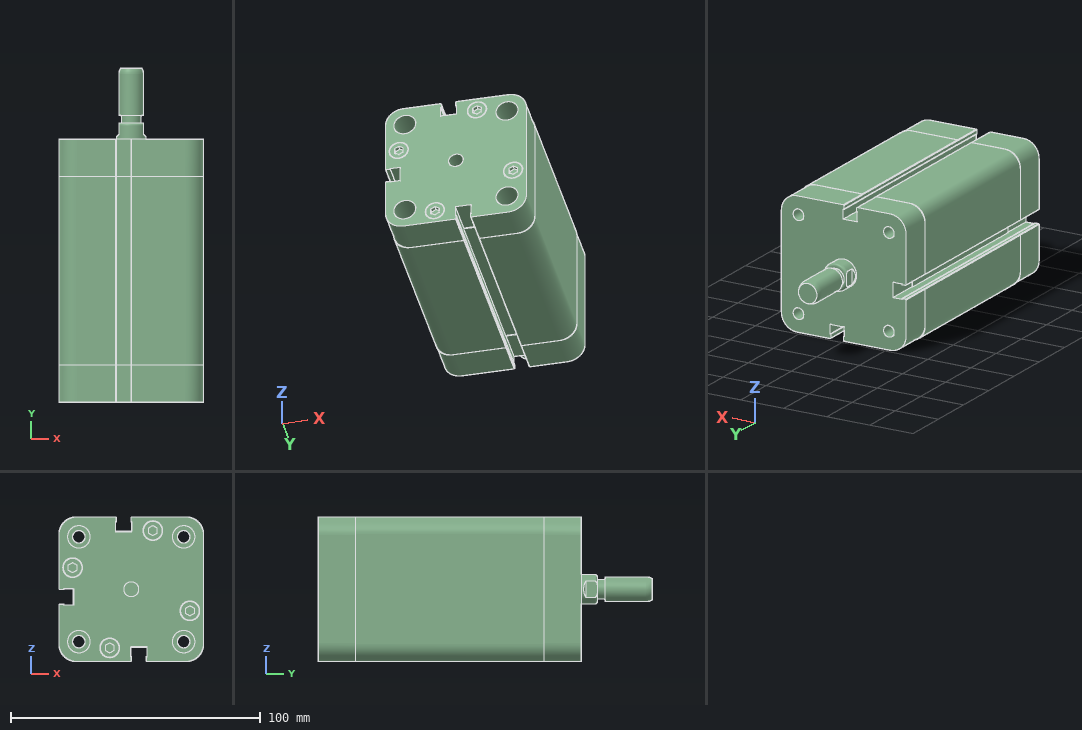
import cadquery as cq
import math


TOTAL_LENGTH = 134.0
HOUSING_LENGTH = 105.5
CAP_LENGTH = 15.0
CAP_WIDTH = 58.0
CAP_CORNER_RADIUS = 7.4
TUBE_WIDTH = 58.1
TUBE_CORNER_RADIUS = 7.0

SLOT_OFFSET = 3.05
SLOT_NECK_WIDTH = 5.9
SLOT_MOUTH_CHAMFER = 0.25
SLOT_NECK_DEPTH = 2.0
SLOT_INNER_WIDTH = 6.5
CAP_SLOT_DEPTH = 6.1
TUBE_SLOT_DEPTH = 5.8
SLOT_ANGLES = (0, 90, 180)

MOUNT_SPACING = 42.0
MOUNT_DIAMETER = 4.92
MOUNT_BORE_DIAMETER = 9.0
MOUNT_BORE_DEPTH = 15.0

CENTRE_DIAMETER = 6.0
CENTRE_DEPTH = 10.0

SCREW_OFFSET = 8.65
SCREW_RADIAL = 23.5
SCREW_COUNT = 4
SCREW_BORE_DIAMETER = 7.9
SCREW_HEAD_DIAMETER = 7.5
SCREW_GAP_DEPTH = 4.0
SOCKET_SIDES = 6
SOCKET_ACROSS_FLATS = 3.5
SOCKET_DEPTH = 2.0

ROD_DIAMETER = 12.0
ROD_EDGE_RADIUS = 1.2
THREAD_DIAMETER = 10.0
THREAD_END_DIAMETER = 8.57
THREAD_LENGTH = 19.0
UNDERCUT_DIAMETER = 8.0
UNDERCUT_LENGTH = 3.0
UNDERCUT_FILLET = 0.4
FLATS_WIDTH = 10.0
FLATS_LENGTH = 4.6


def plane_at(y):
    """Plane at position y facing +Y, with local x = -X and local y = Z."""
    return cq.Workplane(cq.Plane((0, y, 0), (-1, 0, 0), (0, 1, 0)))


def rotated(shape, angle):
    """Turn a shape about the cylinder axis, from the top towards -X."""
    return shape.rotate((0, 0, 0), (0, 1, 0), -angle)


def slot_cutter(y, length, width, depth):
    """T-slot with a chamfered mouth, entering a square section from the top."""
    surface = width / 2
    neck = (
        plane_at(y)
        .center(SLOT_OFFSET, surface - SLOT_NECK_DEPTH / 2)
        .rect(SLOT_NECK_WIDTH, SLOT_NECK_DEPTH)
        .extrude(length)
    )
    half_neck = SLOT_NECK_WIDTH / 2
    half_mouth = half_neck + SLOT_MOUTH_CHAMFER
    mouth = (
        plane_at(y)
        .center(SLOT_OFFSET, surface)
        .polyline(
            [
                (-half_mouth, 0),
                (half_mouth, 0),
                (half_neck, -SLOT_MOUTH_CHAMFER),
                (-half_neck, -SLOT_MOUTH_CHAMFER),
            ]
        )
        .close()
        .extrude(length)
    )
    inner_height = depth - SLOT_NECK_DEPTH
    inner = (
        plane_at(y)
        .center(SLOT_OFFSET, surface - depth + inner_height / 2)
        .rect(SLOT_INNER_WIDTH, inner_height)
        .extrude(length)
    )
    return neck.union(mouth).union(inner)


def housing_section(y, length, width, corner_radius, slot_depth):
    """Square prism with rounded corners and three sensor slots."""
    section = plane_at(y).rect(width, width).extrude(length).edges("|Y").fillet(corner_radius)
    cutter = slot_cutter(y, length, width, slot_depth)
    for angle in SLOT_ANGLES:
        section = section.cut(rotated(cutter, angle))
    return section


def make_cap(y):
    return housing_section(y, CAP_LENGTH, CAP_WIDTH, CAP_CORNER_RADIUS, CAP_SLOT_DEPTH)


def make_housing():
    tube_length = HOUSING_LENGTH - 2 * CAP_LENGTH
    tube = housing_section(
        CAP_LENGTH, tube_length, TUBE_WIDTH, TUBE_CORNER_RADIUS, TUBE_SLOT_DEPTH
    )
    return tube.union(make_cap(0)).union(make_cap(HOUSING_LENGTH - CAP_LENGTH))


def mounting_holes():
    """Corner holes through the whole housing, bored wider at the head face."""

    def corners(workplane):
        return workplane.rect(MOUNT_SPACING, MOUNT_SPACING, forConstruction=True).vertices()

    through = corners(plane_at(0)).circle(MOUNT_DIAMETER / 2).extrude(HOUSING_LENGTH)
    bores = corners(plane_at(0)).circle(MOUNT_BORE_DIAMETER / 2).extrude(MOUNT_BORE_DEPTH)
    return through.union(bores)


def centre_hole():
    return plane_at(0).circle(CENTRE_DIAMETER / 2).extrude(CENTRE_DEPTH)


def cut_screws(body):
    """Ring gap around each flush screw head, and its hexagon socket."""
    socket_diameter = SOCKET_ACROSS_FLATS / math.cos(math.pi / SOCKET_SIDES)
    for i in range(SCREW_COUNT):
        angle = 2 * math.pi * i / SCREW_COUNT
        x = SCREW_RADIAL * math.cos(angle) - SCREW_OFFSET * math.sin(angle)
        z = SCREW_RADIAL * math.sin(angle) + SCREW_OFFSET * math.cos(angle)
        seat = plane_at(0).center(x, z)
        bore = seat.circle(SCREW_BORE_DIAMETER / 2)
        gap = bore.circle(SCREW_HEAD_DIAMETER / 2).extrude(SCREW_GAP_DEPTH)
        turned_seat = seat.transformed(rotate=(0, 0, 90))
        socket = turned_seat.polygon(SOCKET_SIDES, socket_diameter).extrude(SOCKET_DEPTH)
        body = body.cut(gap).cut(socket)
    return body


def make_rod():
    """Rod with rounded shoulder, wrench flats, undercut and plain cylinder for the thread."""
    tip = TOTAL_LENGTH
    thread_start = tip - THREAD_LENGTH
    shoulder = thread_start - UNDERCUT_LENGTH

    rod_end = (
        plane_at(HOUSING_LENGTH)
        .circle(ROD_DIAMETER / 2)
        .extrude(shoulder - HOUSING_LENGTH)
        .faces(">Y")
        .edges()
        .fillet(ROD_EDGE_RADIUS)
    )
    radius = ROD_DIAMETER / 2
    flat_x = FLATS_WIDTH / 2
    flat_end = shoulder - FLATS_LENGTH
    flat = (
        cq.Workplane("XY")
        .polyline(
            [
                (flat_x, shoulder),
                (flat_x, flat_end),
                (radius, flat_end - (radius - flat_x)),
                (radius, shoulder),
            ]
        )
        .close()
        .extrude(radius, both=True)
    )
    rod_end = rod_end.cut(flat).cut(flat.mirror("YZ"))

    undercut_radius = UNDERCUT_DIAMETER / 2
    undercut = (
        cq.Workplane("XY")
        .moveTo(0, shoulder)
        .lineTo(undercut_radius, shoulder)
        .lineTo(undercut_radius, thread_start - UNDERCUT_FILLET)
        .tangentArcPoint((undercut_radius + UNDERCUT_FILLET, thread_start), relative=False)
        .lineTo(0, thread_start)
        .close()
        .revolve(360, (0, 0, 0), (0, 1, 0))
    )
    thread_radius = THREAD_DIAMETER / 2
    end_radius = THREAD_END_DIAMETER / 2
    sphere_height = math.sqrt(thread_radius**2 - end_radius**2)
    sphere_y = tip - sphere_height
    thread = (
        cq.Workplane("XY")
        .moveTo(0, thread_start)
        .lineTo(thread_radius, thread_start)
        .lineTo(thread_radius, sphere_y)
        .tangentArcPoint((end_radius, tip), relative=False)
        .lineTo(0, tip)
        .close()
        .revolve(360, (0, 0, 0), (0, 1, 0))
    )
    return rod_end.union(undercut).union(thread)


housing = make_housing().cut(mounting_holes()).cut(centre_hole())
result = cut_screws(housing).union(make_rod())